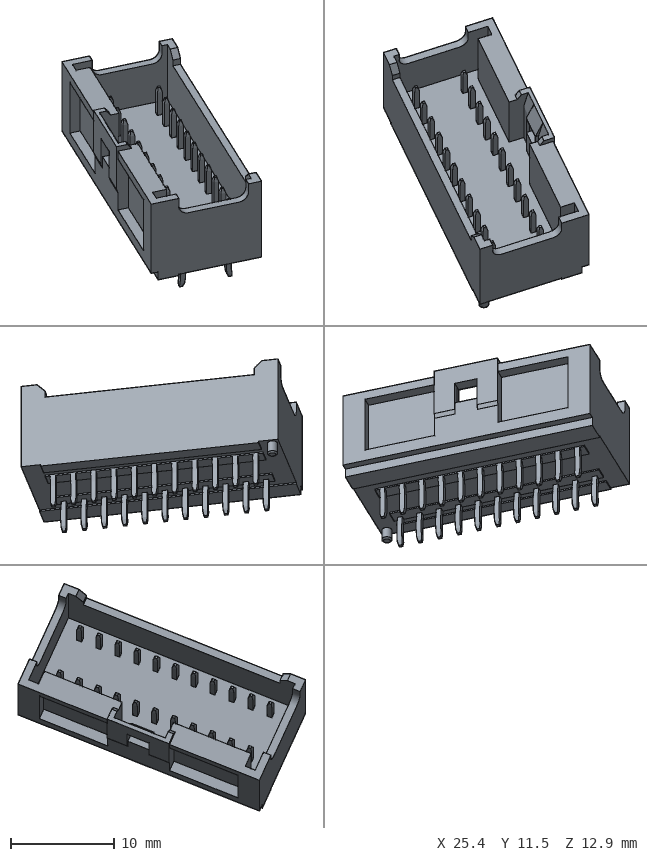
import cadquery as cq


length = 25.4
housing_depth = 11.35
housing_top = 9.15
wall = 0.8
front_wall = 2.24
cavity_floor = 2.62
underside = 0.15
front_step_depth = 0.7
front_step_height = 0.95

back_rim = 7.67
back_rim_half_length = 10.35
post_chamfer = 0.8
end_rim = 7.21
end_rim_near = 1.35
end_rim_far = 8.5
end_rim_radius = 1.0

keyway_width = 1.05
keyway_wall = 0.81
keyway_end = housing_depth - keyway_wall
pocket_half_span = 10.45
pocket_depth = 1.07
pocket_bottom = 2.18
pocket_top = 8.2

latch_half_width = 3.25
latch_front = 11.5
latch_top = 9.7
latch_underside = 4.67
latch_back = 9.95
latch_back_slope = 0.43
latch_slot_half_width = 2.7
latch_lip = 0.4
leg_back = 10.65
window_half_width = 1.15
hook_half_width = 1.2
window_sill = 5.55
window_top = 7.75
hook_back = 10.3
hook_nose_height = 0.1
latch_lead = 0.45

pins_per_row = 11
pin_span = 20.02
pitch = pin_span / (pins_per_row - 1)
pin_width = 0.5
pin_top = 5.8
pin_point_width = 0.23
pin_point_length = 0.5
overall_height = 12.95
tail_bottom = latch_top - overall_height
straight_end = -0.23
bend_end = -1.07
return_start = -2.34
tail_tip_top = -2.82
tail_bend = 0.14
tail_tip_offset = 0.064
tail_tip_slant = 0.18
tail_tip_width = 0.33
back_row = 2.34
front_row = 7.35

foot_overhang = 0.75
foot_half_length = pin_span / 2 + foot_overhang
back_foot_depth = end_rim_near
row_foot_depth = 1.35
peg_diameter = 1.0
peg_x = -12.01
peg_depth = 0.69
peg_bottom = -1.1
peg_chamfer = 0.15


def block(x_range, depth_range, z_range):
    """Box between two X values, two depths and two heights."""
    x_min, x_max = x_range
    near, far = depth_range
    z_min, z_max = z_range
    return cq.Workplane("XY").box(
        x_max - x_min, far - near, z_max - z_min, centered=False
    ).translate((x_min, -far, z_min))


def side_profile(points, x_min, x_max):
    """Prism along X from (depth, height) points."""
    outline = [(-depth, z) for depth, z in points]
    return cq.Workplane("YZ").polyline(outline).close().extrude(x_max - x_min).translate((x_min, 0, 0))


def mirrored(body):
    """The body together with its mirror image across the middle of the length."""
    return body.union(body.mirror("YZ"))


def housing():
    half = length / 2
    step_start = housing_depth - front_step_depth
    shell = side_profile(
        [
            (0, underside),
            (end_rim_far, underside),
            (end_rim_far, 0),
            (step_start, 0),
            (step_start, front_step_height),
            (housing_depth, front_step_height),
            (housing_depth, housing_top),
            (0, housing_top),
        ],
        -half,
        half,
    )
    inner_half = half - wall
    front_inside = housing_depth - front_wall
    cavity_z = (cavity_floor, housing_top)
    shell = shell.cut(block((-inner_half, inner_half), (wall, front_inside), cavity_z))
    keyway = block((inner_half - keyway_width, inner_half), (front_inside, keyway_end), cavity_z)
    pocket = block(
        (latch_half_width, pocket_half_span),
        (housing_depth - pocket_depth, housing_depth),
        (pocket_bottom, pocket_top),
    )
    return shell.cut(mirrored(keyway)).cut(mirrored(pocket))


def back_rim_cut():
    """Lowers the back wall between two corner posts with chamfered inner edges."""
    top_half = back_rim_half_length + post_chamfer
    outline = [
        (-back_rim_half_length, back_rim),
        (back_rim_half_length, back_rim),
        (back_rim_half_length, housing_top - post_chamfer),
        (top_half, housing_top),
        (-top_half, housing_top),
        (-back_rim_half_length, housing_top - post_chamfer),
    ]
    return cq.Workplane("XZ").polyline(outline).close().extrude(wall)


def end_rim_cut():
    """Lowers one end wall, rounded at the bottom corners; runs out above the rim."""
    rim_x = (length / 2 - wall, length / 2)
    above_rim = housing_top + end_rim_radius
    cut = block(rim_x, (end_rim_near, end_rim_far), (end_rim, above_rim))
    return cut.edges("|X and <Z").fillet(end_rim_radius)


def latch_body():
    """Raised pad with a lead-in under it and cheeks sloped at the back."""
    return side_profile(
        [
            (latch_back, housing_top),
            (latch_back + latch_back_slope, latch_top),
            (latch_front, latch_top),
            (latch_front, latch_underside),
            (housing_depth, latch_underside - latch_lead),
            (latch_back, latch_underside - latch_lead),
        ],
        -latch_half_width,
        latch_half_width,
    )


def latch_slot():
    """Slot behind the latch plate; its front side slopes back to the legs at the window top."""
    lip_back = latch_front - latch_lip
    front_inside = housing_depth - front_wall
    return side_profile(
        [
            (front_inside, cavity_floor),
            (leg_back, cavity_floor),
            (leg_back, window_top),
            (lip_back, latch_top),
            (front_inside, latch_top),
        ],
        -latch_slot_half_width,
        latch_slot_half_width,
    )


def latch_hook():
    """Thicker middle of the front wall, sloped above the window."""
    return side_profile(
        [
            (hook_back, cavity_floor),
            (housing_depth, cavity_floor),
            (housing_depth, window_top),
            (latch_front - latch_lip, latch_top),
            (hook_back, window_top + hook_nose_height),
        ],
        -hook_half_width,
        hook_half_width,
    )


def latch_window():
    """Opening through the latch, and the gap in the raised pad below it."""
    width = (-window_half_width, window_half_width)
    opening = block(width, (hook_back, latch_front), (window_sill, window_top))
    gap = block(width, (housing_depth, latch_front), (latch_underside - latch_lead, window_sill))
    return opening.union(gap)


def pin_row(row_depth, inward):
    """Row of pins; `inward` is the depth direction (+1 or -1) toward the other row."""
    bend = tail_bend * inward
    return_bend = tail_tip_offset * inward
    tip_slant = tail_tip_slant * inward
    inner = row_depth + inward * pin_width / 2
    outer = row_depth - inward * pin_width / 2
    tail = side_profile(
        [
            (outer, cavity_floor),
            (outer, straight_end),
            (outer + bend, bend_end),
            (outer + bend, return_start),
            (outer + return_bend, tail_tip_top),
            (outer + return_bend, tail_bottom),
            (inner + return_bend - tip_slant, tail_bottom),
            (inner + return_bend, tail_tip_top),
            (inner + bend, return_start),
            (inner + bend, bend_end),
            (inner, straight_end),
            (inner, cavity_floor),
        ],
        -pin_width / 2,
        pin_width / 2,
    )
    front_outline = [
        (-pin_width / 2, cavity_floor),
        (-pin_width / 2, tail_tip_top),
        (-tail_tip_width / 2, tail_bottom),
        (tail_tip_width / 2, tail_bottom),
        (pin_width / 2, tail_tip_top),
        (pin_width / 2, cavity_floor),
    ]
    tail = tail.intersect(cq.Workplane("XZ").polyline(front_outline).close().extrude(housing_depth))

    contact_top = pin_top - pin_point_length
    half = pin_width / 2
    contact = block((-half, half), (row_depth - half, row_depth + half), (cavity_floor, contact_top))
    point = (
        cq.Workplane("XY", origin=(0, -row_depth, contact_top))
        .rect(pin_width, pin_width)
        .workplane(offset=pin_point_length)
        .rect(pin_point_width, pin_point_width)
        .loft()
    )
    pin = tail.union(contact).union(point)
    row = cq.Workplane("XY")
    for index in range(pins_per_row):
        x = index * pitch - pin_span / 2
        row = row.add(pin.translate((x, 0, 0)))
    return row.combine()


def feet():
    """Low bars under the back edge and under both pin rows."""
    pin_half = pin_width / 2
    bars = [
        (0, back_foot_depth),
        (back_row - pin_half, back_row - pin_half + row_foot_depth),
        (front_row + pin_half - row_foot_depth, front_row + pin_half),
    ]
    bodies = cq.Workplane("XY")
    for bar in bars:
        bodies = bodies.add(block((-foot_half_length, foot_half_length), bar, (0, underside)))
    return bodies.combine()


def locating_peg():
    peg = cq.Workplane("XY", origin=(peg_x, -peg_depth, peg_bottom)).circle(peg_diameter / 2)
    return peg.extrude(underside - peg_bottom).faces("<Z").chamfer(peg_chamfer)


result = housing().cut(back_rim_cut()).cut(mirrored(end_rim_cut()))
result = result.union(latch_body())
result = result.cut(latch_slot())
result = result.union(latch_hook()).cut(latch_window())
result = result.union(feet()).union(locating_peg())
result = result.union(pin_row(back_row, 1)).union(pin_row(front_row, -1))